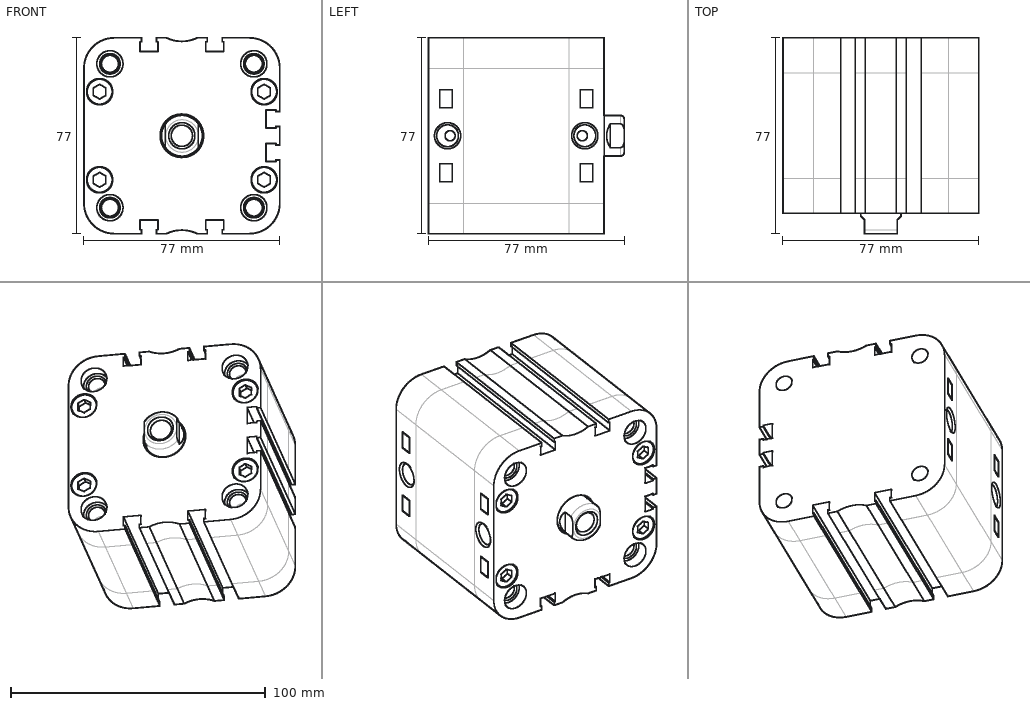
import cadquery as cq
import math

body_width = 77.0
body_length = 69.0
cap_length = 13.8
corner_radius = 12.0
half_width = body_width / 2
profile_length = body_length - 2 * cap_length

slot_opening = 5.8
slot_inner_width = 7.0
slot_depth = 5.4
slot_lip = 1.6
wide_slot_offset = 12.9
side_slot_offset = 6.55
groove_half_width = 6.05
groove_depth = 1.4

mount_offset = 56.5 / 2
mount_hole_diameter = 6.65
mount_chamfer_diameter = 8.05
mount_counterbore_diameter = 10.3
mount_counterbore_depth = 5.0

screw_offset_x = 32.3
screw_offset_z = 17.3
screw_recess_diameter = 10.3
screw_head_drop = 0.4
screw_head_diameter = 9.8
screw_head_height = 6.0
screw_socket_width = 5.0
screw_socket_depth = 3.0

port_end_distance = 7.55
port_diameter = 8.57
port_chamfer_diameter = 10.3
port_depth = 8.0
passage_diameter = 4.0
passage_shift = 1.0
passage_depth = 3.0
label_length = 5.0
label_height = 7.2
label_depth = 0.2
label_end_distance = 6.9
label_offset_z = 14.55

rod_diameter = 16.0
rod_overhang = 8.0
rod_clearance_diameter = 16.5
rod_clearance_mouth_diameter = 17.1
rod_clearance_depth = 2.0
rod_tip_radius = 1.6
rod_flat_width = 13.0
rod_flat_start = 2.5
rod_bore_diameter = 8.38
rod_bore_chamfer_diameter = 10.3
rod_bore_depth = 20.0


def along_y(x, y, z):
    """Workplane at (x, y, z) whose normal points to +Y, with local x along +X and local y along -Z."""
    return cq.Workplane(cq.Plane(origin=(x, y, z), xDir=(1, 0, 0), normal=(0, 1, 0)))


def along_x(y, z):
    """Workplane on the -X face at (y, z) whose normal points into the body, with local x along +Y."""
    return cq.Workplane(cq.Plane(origin=(-half_width, y, z), xDir=(0, 1, 0), normal=(1, 0, 0)))


def cylinder(plane, diameter, depth):
    return plane.circle(diameter / 2).extrude(depth)


def countersink(plane, large_diameter, small_diameter):
    """45 degree cone that starts at the plane and narrows to the small diameter."""
    depth = (large_diameter - small_diameter) / 2
    return plane.circle(large_diameter / 2).workplane(offset=depth).circle(small_diameter / 2).loft()


def t_slot(offset, angle):
    """Full-length T-slot cutter for the +Z side, turned about the rod axis by the angle in degrees."""
    neck_center = half_width - slot_lip / 2
    inner_height = slot_depth - slot_lip
    inner_center = half_width - slot_lip - inner_height / 2
    neck = along_y(offset, 0, neck_center).rect(slot_opening, slot_lip).extrude(body_length)
    inner = along_y(offset, 0, inner_center).rect(slot_inner_width, inner_height).extrude(body_length)
    return neck.union(inner).rotate((0, 0, 0), (0, 1, 0), angle)


def groove(start, length, side):
    """Shallow round-bottomed groove cutter for the +Z (side = 1) or -Z (side = -1) face."""
    edge = -side * half_width
    bottom = -side * (half_width - groove_depth)
    return (
        along_y(0, start, 0)
        .moveTo(-groove_half_width, edge)
        .threePointArc((0, bottom), (groove_half_width, edge))
        .close()
        .extrude(length)
    )


def body_section(start, length):
    """Length of the rounded square body with its two grooves."""
    section = along_y(0, start, 0).rect(body_width, body_width).extrude(length)
    section = section.edges("|Y").fillet(corner_radius)
    for side in (-1, 1):
        section = section.cut(groove(start, length, side))
    return section


def cut_slots(body):
    """Two T-slots on the top, two on the bottom and two on the +X side."""
    for direction in (-1, 1):
        for angle in (0, 180):
            body = body.cut(t_slot(direction * wide_slot_offset, angle), clean=False)
        body = body.cut(t_slot(direction * side_slot_offset, 90), clean=False)
    return body


def corner_positions(offset_x, offset_z):
    return [(x, z) for x in (-offset_x, offset_x) for z in (-offset_z, offset_z)]


def drill_mounting_holes(section):
    for x, z in corner_positions(mount_offset, mount_offset):
        section = section.cut(cylinder(along_y(x, 0, z), mount_hole_diameter, body_length))
    return section


def counterbore_mounting_holes(cap):
    for x, z in corner_positions(mount_offset, mount_offset):
        cap = cap.cut(cylinder(along_y(x, 0, z), mount_counterbore_diameter, mount_counterbore_depth))
        shoulder = along_y(x, mount_counterbore_depth, z)
        cap = cap.cut(countersink(shoulder, mount_chamfer_diameter, mount_hole_diameter))
    return cap


def add_screws(cap):
    socket_corner_diameter = screw_socket_width / math.cos(math.pi / 6)
    for x, z in corner_positions(screw_offset_x, screw_offset_z):
        recess = cylinder(along_y(x, 0, z), screw_recess_diameter, screw_head_drop + screw_head_height)
        head_plane = along_y(x, screw_head_drop, z)
        head = cylinder(head_plane, screw_head_diameter, screw_head_height)
        socket = (
            head_plane.transformed(rotate=(0, 0, 90))
            .polygon(6, socket_corner_diameter)
            .extrude(screw_socket_depth)
        )
        cap = cap.cut(recess).union(head.cut(socket))
    return cap


def cut_port(cap, end_position, inward):
    """Port and label pockets of one cap; inward is the Y direction from its end face to the middle."""
    port_y = end_position + inward * port_end_distance
    label_y = end_position + inward * label_end_distance
    plane = along_x(port_y, 0)
    cap = cap.cut(cylinder(plane, port_diameter, port_depth))
    cap = cap.cut(countersink(plane, port_chamfer_diameter, port_diameter))
    passage_plane = along_x(port_y + inward * passage_shift, 0)
    cap = cap.cut(cylinder(passage_plane, passage_diameter, port_depth + passage_depth))
    for z in (-label_offset_z, label_offset_z):
        cap = cap.cut(along_x(label_y, z).rect(label_length, label_height).extrude(label_depth))
    return cap


def piston_rod():
    """Rod end from its tip to the bottom of the clearance around it."""
    rod = cylinder(along_y(0, -rod_overhang, 0), rod_diameter, rod_overhang + rod_clearance_depth)
    rod = rod.faces("<Y").edges().fillet(rod_tip_radius)
    flat = rod_flat_width / 2
    outside = rod_diameter
    bevel_end = -rod_flat_start + outside - flat
    for side in (-1, 1):
        flat_cut = (
            cq.Workplane("XY")
            .workplane(offset=-rod_diameter / 2)
            .polyline(
                [
                    (side * flat, -rod_overhang),
                    (side * flat, -rod_flat_start),
                    (side * outside, bevel_end),
                    (side * outside, -rod_overhang),
                ]
            )
            .close()
            .extrude(rod_diameter)
        )
        rod = rod.cut(flat_cut)
    return rod


def front_cap():
    cap = body_section(0, cap_length)
    cap = counterbore_mounting_holes(drill_mounting_holes(cap))
    cap = add_screws(cap)
    cap = cut_port(cap, 0, 1)
    face = along_y(0, 0, 0)
    cap = cap.cut(cylinder(face, rod_clearance_diameter, rod_clearance_depth))
    cap = cap.cut(countersink(face, rod_clearance_mouth_diameter, rod_clearance_diameter))
    return cap.union(piston_rod())


def profile_tube():
    return drill_mounting_holes(body_section(cap_length, profile_length))


def rear_cap():
    cap = body_section(body_length - cap_length, cap_length)
    return cut_port(drill_mounting_holes(cap), body_length, -1)


def bore_rod(body):
    tip = along_y(0, -rod_overhang, 0)
    bored = body.cut(cylinder(tip, rod_bore_diameter, rod_bore_depth), clean=False)
    return bored.cut(countersink(tip, rod_bore_chamfer_diameter, rod_bore_diameter), clean=False)


body = front_cap().union(profile_tube(), clean=False).union(rear_cap(), clean=False)
result = bore_rod(cut_slots(body))